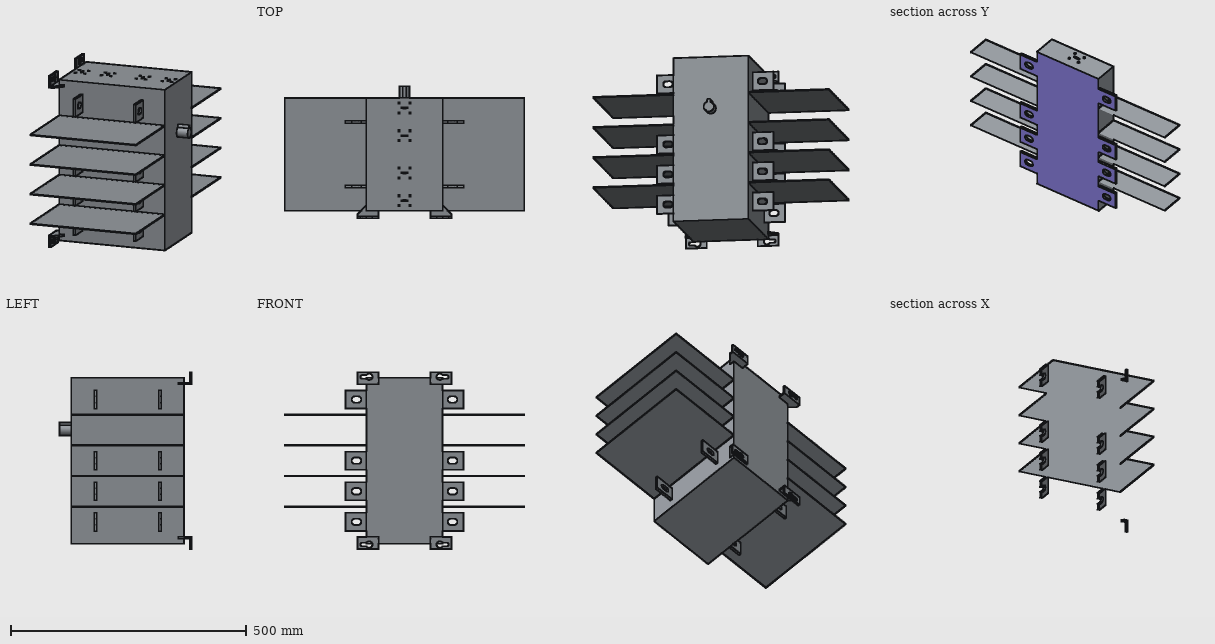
import cadquery as cq
body_width = 162.0
body_depth = 240.0
body_height = 353.0
body_front = -body_depth / 2
body_back = body_depth / 2

phase_pitch = 65.0
barrier_span = 509.0
barrier_thickness = 2.0
barrier_levels = [phase_pitch * step for step in (-1.5, -0.5, 0.5, 1.5)]

terminal_span = 251.0
terminal_height = 39.0
terminal_thickness = 5.0
terminal_row_spacing = 137.0
terminal_levels = [phase_pitch * step for step in (-2, -1, 0, 2)]
terminal_slot_spacing = 204.0
terminal_slot_length = 20.0
terminal_slot_width = 13.0

shaft_level = 64.5
shaft_diameter = 22.0
shaft_length = 25.0
pin_diameter = 8.0
pin_offset = 13.0

foot_sheet = 4.0
foot_width = 45.0
foot_outer_x = 100.0
foot_outer_z = 188.0
foot_flange_height = 26.0
foot_standoff = 16.0
foot_leg_length = 29.5
foot_bevel = 20.5
foot_front = body_front - foot_standoff
keyhole_diameter = 13.5
keyhole_slot_width = 7.0
keyhole_x = 75.0
keyhole_z = 178.0
keyhole_slot_reach = 15.0

group_offset_inner = 39.5
group_offset_outer = 98.5
group_positions = [-group_offset_outer, -group_offset_inner, group_offset_inner, group_offset_outer]
corner_spacing_x = 24.0
corner_spacing_y = 21.0
corner_hole_side = 3.5
center_hole_length = 6.0
center_hole_width = 3.0
side_hole_spacing = 12.0
side_hole_side = 2.0
top_hole_depth = 10.0


def make_body():
    return cq.Workplane("XY").box(body_width, body_depth, body_height)


def make_barrier(level):
    barrier = cq.Workplane("XY").box(barrier_span, body_depth, barrier_thickness)
    return barrier.translate((0, 0, level))


def make_terminal_pair(row_y, level):
    """Bar through the body that leaves one slotted tab on each side."""
    bar = cq.Workplane("XZ").rect(terminal_span, terminal_height).extrude(terminal_thickness / 2, both=True)
    slots = (
        cq.Workplane("XZ")
        .pushPoints([(-terminal_slot_spacing / 2, 0), (terminal_slot_spacing / 2, 0)])
        .slot2D(terminal_slot_length, terminal_slot_width)
        .extrude(terminal_thickness, both=True)
    )
    return bar.cut(slots).translate((0, row_y, level))


def make_shaft():
    """Shaft on the back face; the pin runs along its upper side."""
    back_plane = cq.Workplane("XZ", origin=(0, body_back, shaft_level))
    shaft = back_plane.circle(shaft_diameter / 2).extrude(-shaft_length)
    pin = back_plane.center(0, pin_offset).circle(pin_diameter / 2).extrude(-shaft_length)
    return shaft.union(pin)


def make_foot():
    """Foot at the +X, +Z corner."""
    inner_x = foot_outer_x - foot_width
    leg_bottom = foot_outer_z - foot_flange_height
    leg_back = foot_front + foot_leg_length
    flange = cq.Workplane("XY").box(foot_width, foot_sheet, foot_flange_height, centered=False)
    flange = flange.translate((inner_x, foot_front, leg_bottom))
    leg = (
        cq.Workplane("XY", origin=(0, 0, leg_bottom))
        .moveTo(inner_x, foot_front)
        .lineTo(foot_outer_x, foot_front)
        .lineTo(foot_outer_x, leg_back - foot_bevel)
        .lineTo(foot_outer_x - foot_bevel, leg_back)
        .lineTo(inner_x, leg_back)
        .close()
        .extrude(foot_sheet)
    )
    hole_plane = cq.Workplane("XZ", origin=(keyhole_x, foot_front, keyhole_z))
    round_hole = hole_plane.circle(keyhole_diameter / 2).extrude(-foot_sheet)
    slot_length = keyhole_slot_reach + keyhole_slot_width
    slot = (
        hole_plane.center(keyhole_slot_reach / 2, 0)
        .slot2D(slot_length, keyhole_slot_width)
        .extrude(-foot_sheet)
    )
    return flange.union(leg).cut(round_hole).cut(slot)


def make_top_holes(group_y):
    """Four square corner holes around a row of three smaller holes."""
    top_plane = cq.Workplane("XY", origin=(0, group_y, body_height / 2))
    corner_holes = (
        top_plane.rect(corner_spacing_x, corner_spacing_y, forConstruction=True)
        .vertices()
        .rect(corner_hole_side, corner_hole_side)
        .extrude(-top_hole_depth)
    )
    side_holes = (
        top_plane.pushPoints([(-side_hole_spacing / 2, 0), (side_hole_spacing / 2, 0)])
        .rect(side_hole_side, side_hole_side)
        .extrude(-top_hole_depth)
    )
    center_hole = top_plane.rect(center_hole_length, center_hole_width).extrude(-top_hole_depth)
    return corner_holes.union(side_holes).union(center_hole)


result = make_body().union(make_shaft())
for barrier_level in barrier_levels:
    result = result.union(make_barrier(barrier_level))
for terminal_level in terminal_levels:
    for terminal_y in (-terminal_row_spacing / 2, terminal_row_spacing / 2):
        result = result.union(make_terminal_pair(terminal_y, terminal_level))

right_top_foot = make_foot()
left_top_foot = right_top_foot.mirror("YZ")
for top_foot in (right_top_foot, left_top_foot):
    result = result.union(top_foot).union(top_foot.mirror("XY"))

for group_position in group_positions:
    result = result.cut(make_top_holes(group_position))